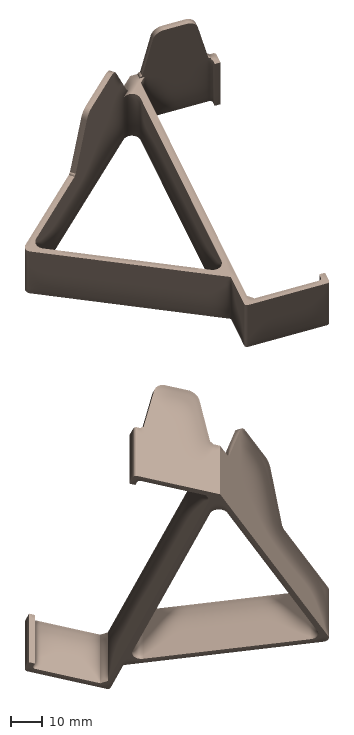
import cadquery as cq
import math

width = 106.0
length = 86.7
band_height = 20.0
tab_height = 19.9
wall = 2.0

cradle_depth = 29.0
lip_reach = 4.6
outer_radius = 1.0
lip_inner_radius = 1.0
inner_chamfer = 1.9

left_angle = math.radians(45)
right_angle = math.radians(60)
stand_start = 29.3
crossbar_bottom = 29.5
apex_radius = 2.0
window_radius = 3.0

tab_top_radius = 4.0
tab_foot_radius = 1.0
side_tab_base = 23.0
side_tab_top = 14.0
side_tab_center = 14.5
leg_tab_base = 40.1
leg_tab_top = 20.1
leg_tab_center = 26.4


def prism(points):
    return cq.Workplane("XY").polyline(points).close().extrude(band_height)


def corner(x, y):
    """Box selector around the vertical edge at (x, y)."""
    reach = 0.1
    return cq.selectors.BoxSelector(
        (x - reach, y - reach, -reach), (x + reach, y + reach, band_height + reach)
    )


def make_cradle():
    floor_y = wall - cradle_depth
    right_inner = width - wall
    body = prism([
        (0, 0), (lip_reach, 0), (lip_reach, -wall), (wall, -wall),
        (wall, floor_y), (right_inner, floor_y), (right_inner, -wall),
        (width - lip_reach, -wall), (width - lip_reach, 0), (width, 0),
        (width, -cradle_depth), (0, -cradle_depth),
    ])
    for x, y in [(0, 0), (width, 0), (width, -cradle_depth)]:
        body = body.edges(corner(x, y)).fillet(outer_radius)
    for x in (wall, right_inner):
        body = body.edges(corner(x, -wall)).fillet(lip_inner_radius)
        body = body.edges(corner(x, floor_y)).chamfer(inner_chamfer)
    return body


def triangle(apex, top_y):
    """Triangle with its apex below and a level top side at top_y."""
    rise = top_y - apex[1]
    left = apex[0] - rise / math.tan(left_angle)
    right = apex[0] + rise / math.tan(right_angle)
    return prism([apex, (right, top_y), (left, top_y)])


def make_stand():
    half_apex = (math.pi - left_angle - right_angle) / 2
    bisector = right_angle + half_apex
    apex_to_center = apex_radius / math.sin(half_apex)
    apex_y = apex_radius - length - apex_to_center * math.sin(bisector)
    apex = ((-stand_start - apex_y) / math.tan(left_angle), apex_y)

    shift = wall / math.sin(half_apex)
    window_apex = (
        apex[0] + shift * math.cos(bisector),
        apex[1] + shift * math.sin(bisector),
    )
    outer = triangle(apex, -cradle_depth + wall / 2).edges(corner(*apex)).fillet(apex_radius)
    within_width = cq.Workplane("XY").box(width, length, band_height, centered=False)
    outer = outer.intersect(within_width.translate((0, -length, 0)))
    window = triangle(window_apex, -crossbar_bottom).edges("|Z").fillet(window_radius)
    return outer, window


def make_tab(base, top, center):
    """Tapered tab along local +X, with its outer face on local Y = 0 and its wall on +Y."""
    profile = (
        cq.Workplane("XZ")
        .moveTo(center - base / 2, 0)
        .lineTo(center + base / 2, 0)
        .lineTo(center + top / 2, tab_height)
        .lineTo(center - top / 2, tab_height)
        .close()
        .extrude(-wall)
        .edges("|Y and >Z")
        .fillet(tab_top_radius)
    )
    slant = math.atan2(tab_height, (base - top) / 2)
    setback = tab_foot_radius * math.tan(slant / 2)
    for side in (-1, 1):
        foot = center + side * base / 2
        touch_x = foot - side * setback * math.cos(slant)
        touch_z = setback * math.sin(slant)
        filler = (
            cq.Workplane("XZ")
            .moveTo(foot, 0)
            .lineTo(foot + side * setback, 0)
            .radiusArc((touch_x, touch_z), -side * tab_foot_radius)
            .close()
            .extrude(-wall)
        )
        profile = profile.union(filler)
    return profile.translate((0, 0, band_height))


stand, window = make_stand()
side_tab = make_tab(side_tab_base, side_tab_top, side_tab_center)
side_tab = side_tab.rotate((0, 0, 0), (0, 0, 1), -90)
leg_tab = make_tab(leg_tab_base, leg_tab_top, leg_tab_center)
leg_tab = leg_tab.rotate((0, 0, 0), (0, 0, 1), -math.degrees(left_angle))
leg_tab = leg_tab.translate((0, -stand_start, 0))

result = make_cradle().union(stand).cut(window).union(side_tab).union(leg_tab)